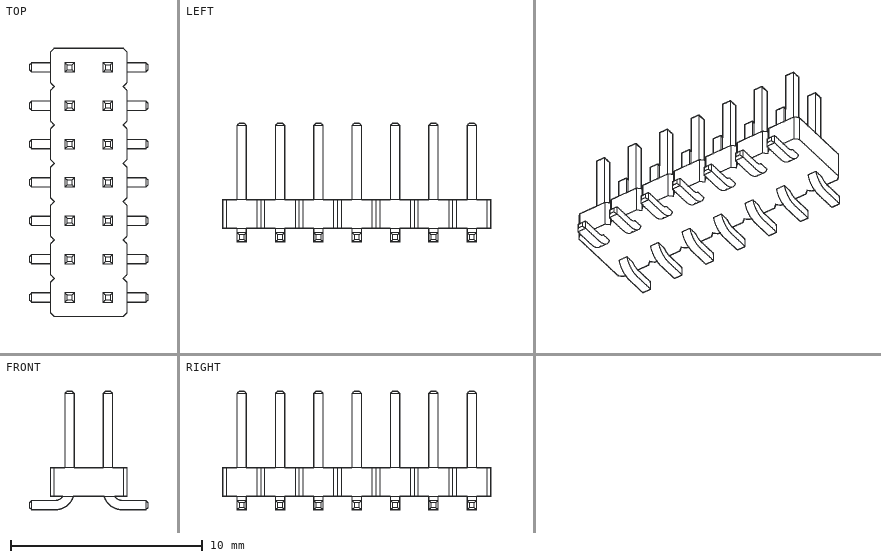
import cadquery as cq

PIN_ROWS = 7
PITCH = 2.0

BODY_WIDTH = 2 * PITCH
BODY_BOTTOM = 0.7
BODY_HEIGHT = 1.5
CORNER_CUT = 0.2

PIN_SIZE = 0.5
PIN_TOP = 6.2
FOOT_SPAN = 6.2
BEND_INNER_RADIUS = 0.5
TIP_CHAMFER = 0.125

PIN_X = PITCH / 2
ROW_POSITIONS = [(i - (PIN_ROWS - 1) / 2) * PITCH for i in range(PIN_ROWS)]


def make_body():
    """Row of corner-cut cells; adjoining cuts form the V notches."""
    body = cq.Workplane("XY")
    for cell_y in ROW_POSITIONS:
        cell = (
            cq.Workplane("XY", origin=(0, cell_y, BODY_BOTTOM))
            .rect(BODY_WIDTH, PITCH)
            .extrude(BODY_HEIGHT)
            .edges("|Z")
            .chamfer(CORNER_CUT)
        )
        body = body.union(cell)
    return body.clean()


def make_pin():
    """Pin of the +X side at Y = 0, with its foot bent outward along +X."""
    inner_x = PIN_X - PIN_SIZE / 2
    outer_x = PIN_X + PIN_SIZE / 2
    foot_end = FOOT_SPAN / 2
    bend_x = outer_x + BEND_INNER_RADIUS
    bend_z = PIN_SIZE + BEND_INNER_RADIUS
    bend_outer_radius = BEND_INNER_RADIUS + PIN_SIZE

    pin = (
        cq.Workplane("XZ", origin=(0, PIN_SIZE / 2, 0))
        .moveTo(inner_x, PIN_TOP)
        .lineTo(inner_x, bend_z)
        .radiusArc((bend_x, 0), -bend_outer_radius)
        .lineTo(foot_end, 0)
        .lineTo(foot_end, PIN_SIZE)
        .lineTo(bend_x, PIN_SIZE)
        .radiusArc((outer_x, bend_z), BEND_INNER_RADIUS)
        .lineTo(outer_x, PIN_TOP)
        .close()
        .extrude(PIN_SIZE)
    )
    pin = pin.faces(">Z").chamfer(TIP_CHAMFER)
    return pin.faces(">X").chamfer(TIP_CHAMFER)


result = make_body()
right_pin = make_pin()
left_pin = right_pin.mirror("YZ")
for row_y in ROW_POSITIONS:
    for side_pin in (right_pin, left_pin):
        result = result.union(side_pin.translate((0, row_y, 0)))